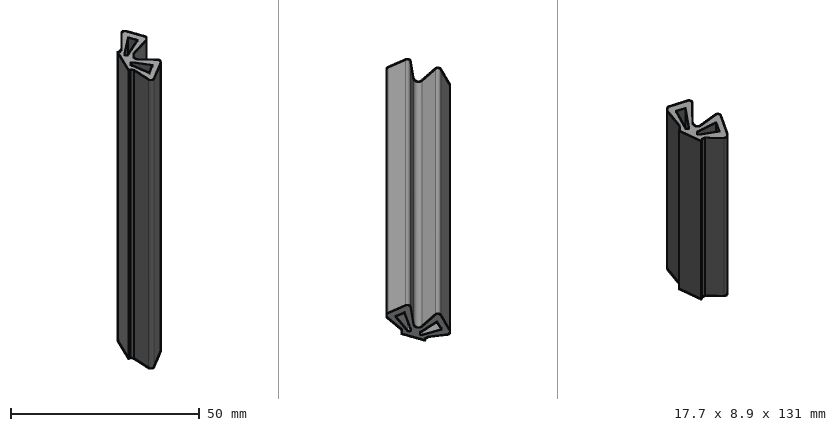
import cadquery as cq
import math

LENGTH = 131.0
WIDTH = 17.7
DEPTH = 8.9

BASE_HALF_WIDTH = 3.3
FOOT_HEIGHT = 0.7
FLARE_X = 3.8
FLARE_Y = 1.3

CORNER_RADIUS = 0.9
TIP_Y = 4.3
TIP_X = WIDTH / 2 - CORNER_RADIUS
RIDGE_Y = DEPTH - CORNER_RADIUS
RIDGE_X = TIP_X - (RIDGE_Y - TIP_Y)
OUTER_FACE_NORMAL = 45.0

VALLEY_RADIUS = 1.3
VALLEY_FLOOR = 3.1
VALLEY_Y = VALLEY_FLOOR + VALLEY_RADIUS

CAVITY_RIDGE = (4.52, 6.4)
CAVITY_TIP = (6.4, 4.6)
CAVITY_ROOT_LOW = (2.1, 1.5)
CAVITY_ROOT_MIDDLE = (1.5, 1.5)
CAVITY_ROOT_HIGH = (1.3, 2.0)


def on_circle(center, radius, angle):
    """Point on a circle at an angle in degrees from +X."""
    turn = math.radians(angle)
    return (center[0] + radius * math.cos(turn), center[1] + radius * math.sin(turn))


def angle_and_distance(start, end):
    """Direction in degrees and distance from one point to another."""
    dx = end[0] - start[0]
    dy = end[1] - start[1]
    return math.degrees(math.atan2(dy, dx)), math.hypot(dx, dy)


def right_half():
    """Solid half of the strip on the +X side, without its cavity."""
    flare = (FLARE_X, FLARE_Y)
    tip = (TIP_X, TIP_Y)
    ridge = (RIDGE_X, RIDGE_Y)
    valley = (0, VALLEY_Y)

    aim, distance = angle_and_distance(flare, tip)
    flank_normal = aim - math.degrees(math.asin(CORNER_RADIUS / distance)) - 90

    aim, distance = angle_and_distance(valley, ridge)
    inner_slope = aim + math.degrees(math.asin((CORNER_RADIUS + VALLEY_RADIUS) / distance))
    ridge_end = inner_slope + 90
    valley_start = inner_slope - 90
    valley_bottom = -90

    return (
        cq.Workplane("XY")
        .lineTo(BASE_HALF_WIDTH, 0)
        .lineTo(BASE_HALF_WIDTH, FOOT_HEIGHT)
        .lineTo(*flare)
        .lineTo(*on_circle(tip, CORNER_RADIUS, flank_normal))
        .threePointArc(
            on_circle(tip, CORNER_RADIUS, 0),
            on_circle(tip, CORNER_RADIUS, OUTER_FACE_NORMAL),
        )
        .lineTo(*on_circle(ridge, CORNER_RADIUS, OUTER_FACE_NORMAL))
        .threePointArc(
            on_circle(ridge, CORNER_RADIUS, 90),
            on_circle(ridge, CORNER_RADIUS, ridge_end),
        )
        .lineTo(*on_circle(valley, VALLEY_RADIUS, valley_start))
        .threePointArc(
            on_circle(valley, VALLEY_RADIUS, (valley_start + valley_bottom) / 2),
            (0, VALLEY_FLOOR),
        )
        .close()
        .extrude(LENGTH)
    )


def arm_cavity():
    """Cavity running the full length of the right arm."""
    return (
        cq.Workplane("XY")
        .moveTo(*CAVITY_RIDGE)
        .lineTo(*CAVITY_TIP)
        .lineTo(*CAVITY_ROOT_LOW)
        .threePointArc(CAVITY_ROOT_MIDDLE, CAVITY_ROOT_HIGH)
        .close()
        .extrude(LENGTH)
    )


half = right_half().cut(arm_cavity())
result = half.union(half.mirror("YZ")).clean()